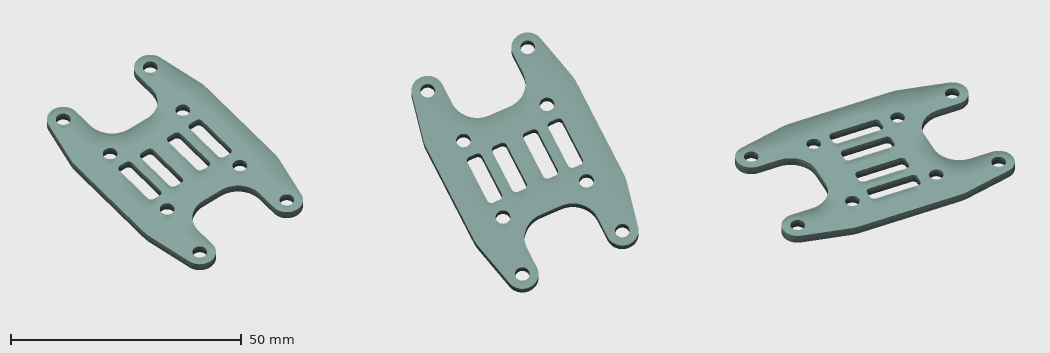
import cadquery as cq
import math

length = 55.0
width = 36.0
thickness = 2.0
waist_half_width = 13.0
notch_radius = 6.0
shoulder_radius = 10.0

ear_radius = 3.5
ear_x = length / 2 - ear_radius
ear_y = 12.0

hole_diameter = 3.2
inner_hole_offset = 10.0

slot_length = 12.0
slot_width = 3.5
slot_corner_radius = 1.0
inner_slot_y = 3.75
outer_slot_y = 9.7

shoulder_x = waist_half_width
shoulder_y = width / 2
run = ear_x - shoulder_x
drop = shoulder_y - ear_y
slope = math.atan2(drop, run) - math.asin(ear_radius / math.hypot(run, drop))


def ear_point(angle):
    """Point on the rim of the +X +Y ear, angle in radians from +X."""
    return (ear_x + ear_radius * math.cos(angle), ear_y + ear_radius * math.sin(angle))


def make_quarter():
    """One quarter of the plate, before its corners are rounded."""
    return (
        cq.Workplane("XY")
        .moveTo(0, 0)
        .lineTo(0, shoulder_y)
        .lineTo(shoulder_x, shoulder_y)
        .lineTo(*ear_point(math.pi / 2 - slope))
        .threePointArc(ear_point(0), ear_point(-math.pi / 2))
        .lineTo(waist_half_width, ear_y - ear_radius)
        .lineTo(waist_half_width, 0)
        .close()
        .extrude(thickness)
    )


def round_corner(body, x, y, radius):
    """Fillet the vertical edge standing at (x, y)."""
    edge = cq.selectors.NearestToPointSelector((x, y, thickness / 2))
    return body.edges("|Z").edges(edge).fillet(radius)


def make_plate():
    quarter = make_quarter()
    quarter = round_corner(quarter, shoulder_x, shoulder_y, shoulder_radius)
    quarter = round_corner(quarter, waist_half_width, ear_y - ear_radius, notch_radius)
    half = quarter.union(quarter.mirror("YZ"))
    return half.union(half.mirror("XZ")).clean()


def make_holes():
    ear_holes = [(sx * ear_x, sy * ear_y) for sx in (-1, 1) for sy in (-1, 1)]
    inner_holes = [
        (sx * inner_hole_offset, sy * inner_hole_offset) for sx in (-1, 1) for sy in (-1, 1)
    ]
    return (
        cq.Workplane("XY")
        .pushPoints(ear_holes + inner_holes)
        .circle(hole_diameter / 2)
        .extrude(thickness)
    )


def make_slots():
    slot_centers = [(0, side * y) for side in (-1, 1) for y in (inner_slot_y, outer_slot_y)]
    return (
        cq.Workplane("XY")
        .pushPoints(slot_centers)
        .rect(slot_length, slot_width)
        .extrude(thickness)
        .edges("|Z")
        .fillet(slot_corner_radius)
    )


result = make_plate().cut(make_holes()).cut(make_slots())